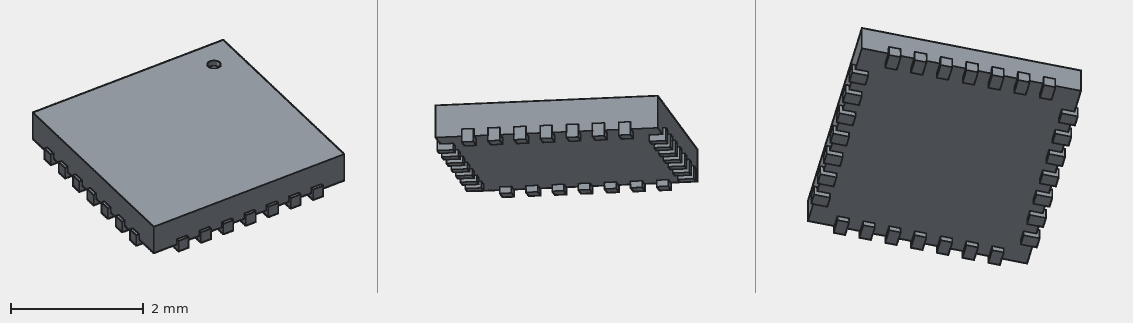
import cadquery as cq

body_side = 3.4
body_height = 0.5
standoff = 0.1

overall_side = 3.5
leads_per_side = 7
lead_pitch = 0.4
lead_width = 0.18
lead_length = 0.25
lead_height = 0.2

mark_diameter = 0.2
mark_depth = 0.1
mark_inset = 0.45

body_top = standoff + body_height


def make_body():
    """Square block raised above the seating plane."""
    return cq.Workplane("XY").workplane(offset=standoff).box(
        body_side, body_side, body_height, centered=(True, True, False)
    )


def make_lead_row():
    """Leads along the +X side, each reaching under the body and up its wall."""
    centre_x = (overall_side - lead_length) / 2
    first_y = -(leads_per_side - 1) * lead_pitch / 2
    centres = [(centre_x, first_y + i * lead_pitch) for i in range(leads_per_side)]
    return cq.Workplane("XY").pushPoints(centres).rect(lead_length, lead_width).extrude(lead_height)


def make_pin_one_mark():
    """Round recess in the top face, near the -X +Y corner."""
    offset = body_side / 2 - mark_inset
    return (
        cq.Workplane("XY")
        .workplane(offset=body_top - mark_depth)
        .center(-offset, offset)
        .circle(mark_diameter / 2)
        .extrude(mark_depth)
    )


result = make_body()
lead_row = make_lead_row()
for side_angle in (0, 90, 180, 270):
    result = result.union(lead_row.rotate((0, 0, 0), (0, 0, 1), side_angle))
result = result.cut(make_pin_one_mark())